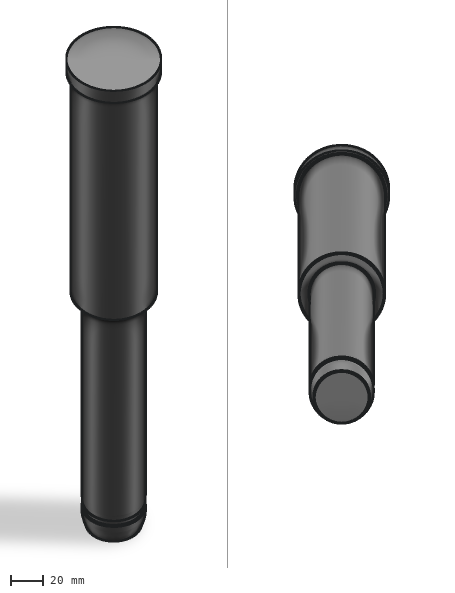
import cadquery as cq

total_length = 391.0
head_diameter = 59.0
head_height = 10.0
sleeve_diameter = 54.0
shank_diameter = 40.0
shank_length = 195.0

sleeve_chamfer = 0.8
shoulder_chamfer = 0.8
tip_chamfer = 0.8

tip_diameter = 35.0
lead_in_mid_diameter = 38.0
lead_in_mid_height = 5.0
lead_in_height = 10.0

relief_depth = 0.08
relief_bottom = 23.5
relief_top = 24.2
groove_depth = 0.5
groove_bottom = 15.2
groove_floor_bottom = 16.5
groove_top = 20.0

head_radius = head_diameter / 2
sleeve_radius = sleeve_diameter / 2
shank_radius = shank_diameter / 2
groove_radius = shank_radius - groove_depth
relief_radius = shank_radius - relief_depth
tip_radius = tip_diameter / 2
head_bottom = total_length - head_height

profile = (
    cq.Workplane("XZ")
    .lineTo(tip_radius - tip_chamfer, 0)
    .lineTo(tip_radius, tip_chamfer)
    .threePointArc((lead_in_mid_diameter / 2, lead_in_mid_height), (shank_radius, lead_in_height))
    .lineTo(shank_radius, groove_bottom)
    .lineTo(groove_radius, groove_floor_bottom)
    .lineTo(groove_radius, groove_top)
    .lineTo(relief_radius, groove_top)
    .lineTo(relief_radius, relief_bottom)
    .lineTo(shank_radius, relief_top)
    .lineTo(shank_radius, shank_length - shoulder_chamfer)
    .lineTo(shank_radius + shoulder_chamfer, shank_length)
    .lineTo(sleeve_radius - sleeve_chamfer, shank_length)
    .lineTo(sleeve_radius, shank_length + sleeve_chamfer)
    .lineTo(sleeve_radius, head_bottom - shoulder_chamfer)
    .lineTo(sleeve_radius + shoulder_chamfer, head_bottom)
    .lineTo(head_radius, head_bottom)
    .lineTo(head_radius, total_length)
    .lineTo(0, total_length)
    .close()
)

axis_start = (0, 0, 0)
axis_end = (0, 1, 0)
result = profile.revolve(360, axis_start, axis_end)